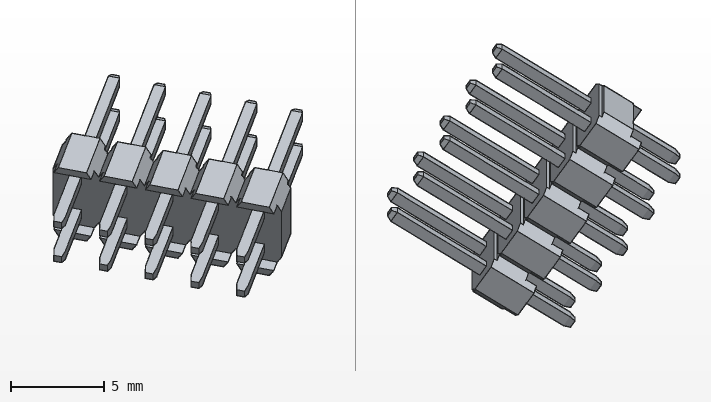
import cadquery as cq


columns = 5
rows = 2
pitch = 2.54
bar_length = columns * pitch
bar_height = rows * pitch
crest_width = 1.56
notch_depth = 0.84
notch_half_width = (pitch - crest_width) / 2

pin_width = 0.64
back_tip_width = 0.4
back_tip_length = 0.29
front_tip_width = 0.45
front_tip_length = 0.38
pin_length = 11.8
back_pin_reach = 6.02

pin_back = pin_length / 2
pin_front = -pin_length / 2
bar_back = pin_back - back_pin_reach
bar_depth = 2.08
bar_front = bar_back - bar_depth
lip_length = 0.69
lip_thickness = 0.43
lip_front = bar_front - lip_length
groove_width = 0.38
groove_depth = 0.19


def column_positions():
    return [(i - (columns - 1) / 2) * pitch for i in range(columns)]


def row_positions():
    return [(i - (rows - 1) / 2) * pitch for i in range(rows)]


def cell_boundaries():
    return [i * pitch - bar_length / 2 for i in range(columns + 1)]


def y_centred_box(length, y_front, y_back, height):
    """Box centred in X and Z, spanning y_front to y_back."""
    depth = y_back - y_front
    return cq.Workplane("XY").box(length, depth, height).translate((0, (y_front + y_back) / 2, 0))


def make_insulator():
    body = y_centred_box(bar_length, lip_front, bar_back, bar_height)

    lip_gap = bar_height - 2 * lip_thickness
    body = body.cut(y_centred_box(bar_length, lip_front, bar_front, lip_gap))

    for x in cell_boundaries():
        for side in (-1, 1):
            edge = side * bar_height / 2
            notch = (
                cq.Workplane("XZ", origin=(0, bar_back, 0))
                .moveTo(x - notch_half_width, edge)
                .lineTo(x + notch_half_width, edge)
                .lineTo(x, edge - side * notch_depth)
                .close()
                .extrude(bar_back - lip_front)
            )
            body = body.cut(notch)

        groove = y_centred_box(groove_width, bar_back - groove_depth, bar_back, bar_height)
        body = body.cut(groove.translate((x, 0, 0)))
    return body


def make_tip(y_base, y_end, end_width):
    """Square taper from the full pin section to a smaller flat end."""
    return (
        cq.Workplane("XZ", origin=(0, y_base, 0))
        .rect(pin_width, pin_width)
        .workplane(offset=y_base - y_end)
        .rect(end_width, end_width)
        .loft(ruled=True)
    )


def make_pin():
    shank_back = pin_back - back_tip_length
    shank_front = pin_front + front_tip_length
    shank = y_centred_box(pin_width, shank_front, shank_back, pin_width)
    back_tip = make_tip(shank_back, pin_back, back_tip_width)
    front_tip = make_tip(shank_front, pin_front, front_tip_width)
    return shank.union(back_tip).union(front_tip)


result = make_insulator()
pin = make_pin()
for x in column_positions():
    for z in row_positions():
        result = result.union(pin.translate((x, 0, z)))